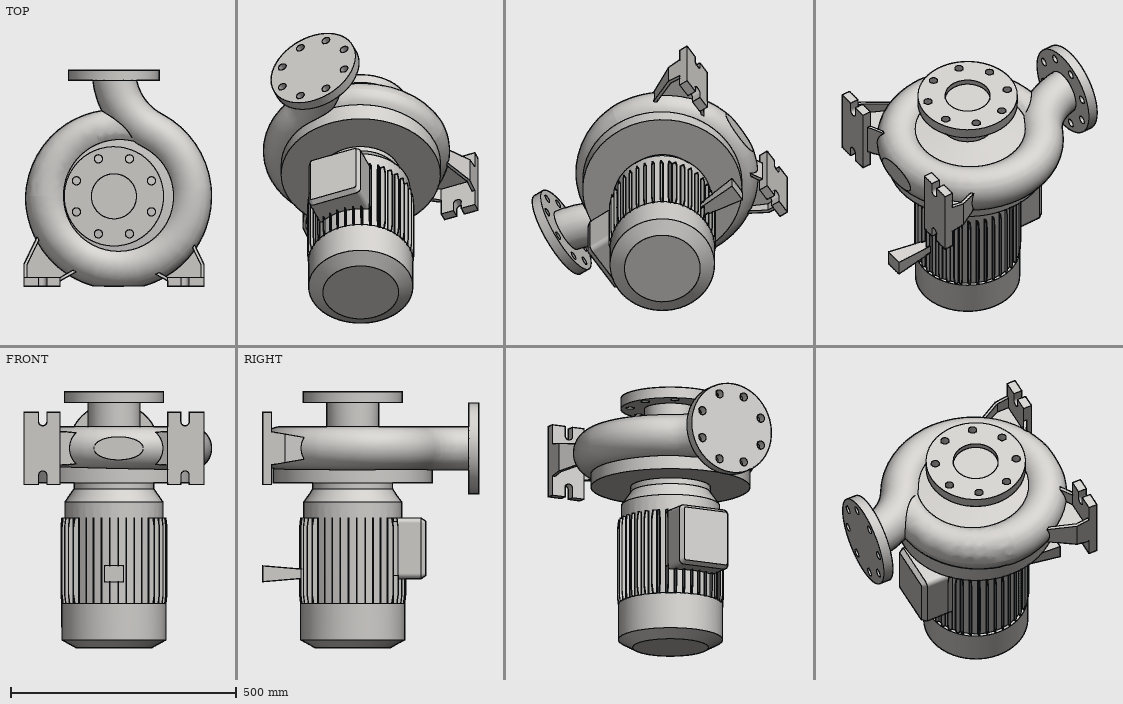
import cadquery as cq
import math


suction_face_z = 125.5
motor_bottom_z = -442.5
foot_face_y = -200.0
foot_half_span = 200.0

volute_center_x = 10.0
volute_radius = 158.5
tube_radius = 48.0
tail_end_radius = 37.5
tail_end_angle = 55
tail_end_distance = 149.0
tail_sections = 6
flat_inset = 0.5

bend_angle = math.degrees(math.acos((volute_radius - volute_center_x) / (2 * volute_radius)))
discharge_face_y = 2 * volute_radius * math.sin(math.radians(bend_angle))

flange_holes = 8
bolt_hole_diameter = 18.0
discharge_flange_radius = 101.0
discharge_flange_thickness = 23.0
discharge_bolt_circle = 160.0
suction_flange_radius = 110.0
suction_flange_thickness = 24.5
suction_bolt_circle = 180.0
suction_bore_radius = 50.0
suction_bore_depth = 12.5
suction_neck_radius = 58.0

cover_rim_radius = 142.0
cover_rim_z = 29.5
cover_neck_z = 39.0

back_plate_radius = 176.5
back_plate_bottom_z = -76.5
collar_radius = 88.5
collar_bottom_z = -90.0
body_radius = 109.0
body_top_z = -119.0
fins_top_z = -154.5
fins_bottom_z = -345.0
end_cover_radius = 116.0
end_cover_bottom_z = -425.0
motor_bottom_radius = 84.0

fin_tip_radius = 118.0
fin_tip_chamfer = 2.0
fin_tip_chamfer_length = 20.0
fin_thickness = 1.4
fin_angle_step = 9
fins_per_side = 5

box_end_y = 162.5
box_height = 135.0
box_edge_radius = 11.5
box_end_chamfer_depth = 11.0
box_end_chamfer_inset = 7.5

prop_z = -278.5
prop_root_y = -102.0
prop_root_width = 20.5
prop_root_height = 19.5
prop_end_width = 41.5
prop_end_height = 36.0

foot_width = 80.5
foot_height = 161.0
foot_thickness = 20.0
foot_slot_x = 158.0
foot_slot_width = 18.0
foot_slot_depth = 30.0
wall_thickness = 7.0
wall_root_half_height = 37.0
wall_tip_half_height = 18.0
wall_tip_y = -74.0
wall_bend_y = -150.5
outer_wall_angle = 26
inner_wall_angle = 30
inner_wall_length = 68.0


def cylinder(radius, z_bottom, z_top):
    return cq.Workplane("XY").workplane(offset=z_bottom).circle(radius).extrude(z_top - z_bottom)


def volute_section(angle, radius, center_distance):
    """Circular wire across the volute at the given angle around its centre."""
    a = math.radians(angle)
    center = cq.Vector(
        volute_center_x + center_distance * math.cos(a), center_distance * math.sin(a), 0
    )
    tangent = cq.Vector(-math.sin(a), math.cos(a), 0)
    return cq.Wire.makeCircle(radius, center, tangent)


def tube_bend(center, sweep_angle):
    """Volute tube bent counterclockwise around center, starting on its -X side."""
    return (
        cq.Workplane("XZ")
        .center(volute_radius, 0)
        .circle(tube_radius)
        .revolve(sweep_angle, (-volute_radius, 0, 0), (-volute_radius, 1, 0))
        .rotate((0, 0, 0), (0, 0, 1), 180)
        .translate((center[0], center[1], 0))
    )


def volute_tail():
    """Tapering start of the volute, ending inside the tube that leads to the discharge."""
    sections = []
    for i in range(tail_sections + 1):
        step = i / tail_sections
        angle = 180 + (tail_end_angle - 180) * step
        radius = tube_radius + (tail_end_radius - tube_radius) * step
        center_distance = volute_radius + (tail_end_distance - volute_radius) * step
        sections.append(volute_section(angle, radius, center_distance))
    return cq.Workplane(cq.Solid.makeLoft(sections))


def bolted_flange(radius, thickness, bolt_circle):
    """Flange with its outer face on Z = 0 and its body below."""
    return (
        cq.Workplane("XY")
        .circle(radius)
        .extrude(-thickness)
        .faces(">Z")
        .workplane()
        .polarArray(bolt_circle / 2, 180 / flange_holes, 360, flange_holes)
        .hole(bolt_hole_diameter)
    )


def suction_flange():
    flange = bolted_flange(suction_flange_radius, suction_flange_thickness, suction_bolt_circle)
    bore = cylinder(suction_bore_radius, -suction_bore_depth, 0)
    return flange.cut(bore).translate((0, 0, suction_face_z))


def discharge_flange():
    flange = bolted_flange(
        discharge_flange_radius, discharge_flange_thickness, discharge_bolt_circle
    )
    return flange.rotate((0, 0, 0), (1, 0, 0), -90).translate((0, discharge_face_y, 0))


def volute_cover():
    """Solid middle of the volute, closed by a shallow cone on top."""
    outline = [
        (0, 0),
        (cover_rim_radius, 0),
        (cover_rim_radius, cover_rim_z),
        (suction_neck_radius, cover_neck_z),
        (0, cover_neck_z),
    ]
    cone = cq.Workplane("XZ").polyline(outline).close().revolve(360, (0, 0, 0), (0, 1, 0))
    return cone.translate((volute_center_x, 0, 0))


def motor_body():
    """Back plate, collar, motor body and end cover as one turned profile."""
    outline = [
        (0, 0),
        (back_plate_radius, 0),
        (back_plate_radius, back_plate_bottom_z),
        (collar_radius, back_plate_bottom_z),
        (collar_radius, collar_bottom_z),
        (body_radius, body_top_z),
        (body_radius, fins_bottom_z),
        (end_cover_radius, fins_bottom_z),
        (end_cover_radius, end_cover_bottom_z),
        (motor_bottom_radius, motor_bottom_z),
        (0, motor_bottom_z),
    ]
    return cq.Workplane("XZ").polyline(outline).close().revolve(360, (0, 0, 0), (0, 1, 0))


def fin_position(index):
    """Distance of a fin from the axis; the fin tips are evenly spaced around the body."""
    return fin_tip_radius * math.sin(math.radians((index + 0.5) * fin_angle_step))


def motor_fins():
    """Parallel plates along X and along Y, trimmed to a round envelope."""
    height = fins_top_z - fins_bottom_z
    middle_z = (fins_top_z + fins_bottom_z) / 2
    plates = cq.Workplane("XY")
    for index in range(fins_per_side):
        for position in (fin_position(index), -fin_position(index)):
            along_y = cq.Workplane("XY").box(fin_thickness, 2 * fin_tip_radius, height)
            along_y = along_y.translate((position, 0, middle_z))
            plates = plates.add(along_y).add(along_y.rotate((0, 0, 0), (0, 0, 1), 90))
    envelope = (
        cylinder(fin_tip_radius, fins_bottom_z, fins_top_z)
        .faces("<Z or >Z")
        .chamfer(fin_tip_chamfer_length, fin_tip_chamfer)
    )
    core = cylinder(body_radius, fins_bottom_z, fins_top_z)
    return plates.combine().intersect(envelope).union(core)


def terminal_box():
    """Box on the +Y side, its sides ending within two of the fins."""
    half_width = fin_position(fins_per_side - 2)
    return (
        cq.Workplane("XY")
        .box(2 * half_width, box_end_y, box_height, centered=(True, False, False))
        .edges("|Y")
        .fillet(box_edge_radius)
        .faces(">Y")
        .chamfer(box_end_chamfer_inset, box_end_chamfer_depth)
        .translate((0, 0, fins_top_z - box_height))
    )


def motor_prop():
    """Rectangular bar that widens from the motor to the foot plane."""
    return (
        cq.Workplane("XZ", origin=(0, prop_root_y, prop_z))
        .rect(prop_root_width, prop_root_height)
        .workplane(offset=prop_root_y - foot_face_y)
        .rect(prop_end_width, prop_end_height)
        .loft()
    )


def foot_plate():
    center_x = -foot_half_span + foot_width / 2
    plate = (
        cq.Workplane("XY")
        .box(foot_width, foot_thickness, foot_height, centered=(True, False, True))
        .translate((center_x, foot_face_y, 0))
    )
    slot_length = 2 * foot_slot_depth
    slots = (
        cq.Workplane("XZ", origin=(-foot_slot_x, foot_face_y, 0))
        .pushPoints([(0, foot_height / 2), (0, -foot_height / 2)])
        .slot2D(slot_length, foot_slot_width, 90)
        .extrude(-foot_thickness)
    )
    return plate.cut(slots)


def foot_bracket():
    """Two walls and a middle web between a foot plate and the volute."""
    back_y = foot_face_y + foot_thickness
    outer = math.radians(outer_wall_angle)
    inner = math.radians(inner_wall_angle)

    outer_tip_x = -foot_half_span + (wall_tip_y - wall_bend_y) * math.tan(outer)
    inside_bend_y = wall_bend_y - wall_thickness * math.tan(outer / 2)
    outer_wall = [
        (-foot_half_span, back_y),
        (-foot_half_span, wall_bend_y),
        (outer_tip_x, wall_tip_y),
        (outer_tip_x + wall_thickness / math.cos(outer), wall_tip_y),
        (-foot_half_span + wall_thickness, inside_bend_y),
        (-foot_half_span + wall_thickness, back_y),
    ]

    corner_x = -foot_half_span + foot_width
    corner_origin = (False, False, True)
    inner_tip_x = corner_x + inner_wall_length * math.cos(inner)
    inner_tip_y = back_y + inner_wall_length * math.sin(inner)
    inner_wall = (
        cq.Workplane("XY")
        .box(inner_wall_length + wall_thickness, wall_thickness, foot_height, centered=corner_origin)
        .translate((-wall_thickness, -wall_thickness, 0))
        .rotate((0, 0, 0), (0, 0, 1), inner_wall_angle)
        .translate((corner_x, back_y, 0))
    )
    walls = (
        cq.Workplane("XY", origin=(0, 0, -foot_height / 2))
        .polyline(outer_wall)
        .close()
        .extrude(foot_height)
        .union(inner_wall)
    )

    side_outline = [
        (foot_face_y, wall_root_half_height),
        (back_y, wall_root_half_height),
        (wall_tip_y, wall_tip_half_height),
        (wall_tip_y, -wall_tip_half_height),
        (back_y, -wall_root_half_height),
        (foot_face_y, -wall_root_half_height),
    ]
    side_taper = (
        cq.Workplane("YZ", origin=(-foot_half_span, 0, 0))
        .polyline(side_outline)
        .close()
        .extrude(foot_half_span)
    )

    web_outline = [
        (-foot_half_span, back_y),
        (-foot_half_span, wall_bend_y),
        (outer_tip_x, wall_tip_y),
        (inner_tip_x, inner_tip_y),
        (corner_x, back_y),
    ]
    web = (
        cq.Workplane("XY", origin=(0, 0, -wall_thickness / 2))
        .polyline(web_outline)
        .close()
        .extrude(wall_thickness)
    )
    return walls.intersect(side_taper).union(web)


bend_center = (volute_radius, discharge_face_y)
volute = tube_bend((volute_center_x, 0), 180 + bend_angle)
volute = volute.union(tube_bend(bend_center, bend_angle)).union(volute_tail())
flat_cutter_size = 4 * volute_radius
flat_cutter = cq.Workplane("XY").box(flat_cutter_size, flat_cutter_size, flat_cutter_size)
flat_y = foot_face_y + flat_inset
volute = volute.cut(flat_cutter.translate((0, flat_y - flat_cutter_size / 2, 0)))

suction_neck = cylinder(suction_neck_radius, 0, suction_face_z - suction_flange_thickness)
pump = volute.union(volute_cover()).union(suction_neck)
pump = pump.union(suction_flange()).union(discharge_flange())

motor = motor_body().union(motor_fins()).union(terminal_box()).union(motor_prop())

left_foot = foot_plate().union(foot_bracket())
right_foot = left_foot.mirror("YZ")

result = pump.union(motor).union(left_foot).union(right_foot)